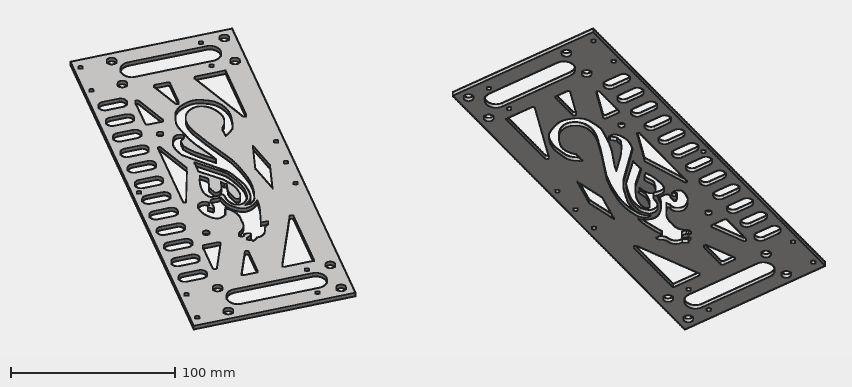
import cadquery as cq
import math

LENGTH = 254.0
WIDTH = 103.0
THICKNESS = 3.0

BOLT_DIAMETER = 6.0
SCREW_DIAMETER = 2.8
CENTER_HOLE_DIAMETER = 4.0
OUTER_COLUMN_X = 120.1
INNER_COLUMN_X = 98.0
UPPER_BOLT_Y = 44.5
LOWER_BOLT_Y = -27.5
SIDE_SCREW_Y = 29.5
TOP_SCREW_Y = 46.5
BOTTOM_SCREW_Y = -47.2
TOP_SCREW_PITCH = 20.0
CENTER_HOLE_X = 47.5
CENTER_HOLE_Y = -19.0

HANDLE_X = (OUTER_COLUMN_X + INNER_COLUMN_X) / 2
HANDLE_Y = 6.9
HANDLE_LENGTH = 63.8
HANDLE_WIDTH = 14.0

VENT_COUNT = 12
VENT_PITCH = 15.0
VENT_LENGTH = 18.0
VENT_WIDTH = 8.0
VENT_ROW_X = 0.5
VENT_ROW_Y = -38.5

WINDOW_ANGLE = 23.0
WINDOW_RADIUS = 1.3
WINDOW_OUTER_X = 91.5
UPPER_WINDOW_Y = 36.3
UPPER_WINDOW_HEIGHT = 20.8
MIDDLE_WINDOW_Y = 0.5
MIDDLE_WINDOW_HEIGHT = 11.0
LOWER_WINDOW_X = 58.0
LOWER_WINDOW_Y = -25.0
LOWER_WINDOW_HEIGHT = 12.0

BASE_TRIANGLE_APEX = (-12.7, -12.7)
BASE_TRIANGLE_HEIGHT = 11.5
BASE_TRIANGLE_RIGHT_RUN = 34.5
BASE_TRIANGLE_RADIUS = 0.9

DIAMOND_Y = 31.8
DIAMOND_LENGTH = 40.6
DIAMOND_HEIGHT = 9.5

PANTHER_ORIGIN = (0.3, -0.3)

BODY_START = (-34.3, 18.8)
BODY_RUNS = [
    [(-41.5, 18.8)],
    [(-44.7, 21.0), (-50.3, 22.5), (-56.5, 21.0), (-62.0, 17.3), (-65.0, 10.7), (-63.5, 5.0), (-59.5, 1.3),
     (-52.8, -0.3), (-44.5, 1.3), (-36.8, 4.3), (-25.5, 9.7), (-12.7, 15.7), (0.0, 19.3), (14.0, 20.8),
     (21.5, 19.8), (26.7, 18.0), (29.7, 14.7), (29.7, 11.7)],
    [(27.7, 14.2), (24.6, 16.5), (21.5, 17.3), (16.5, 17.3), (11.5, 16.5), (6.4, 14.5), (0.0, 12.0), (-4.8, 8.5)],
    [(-25.5, -12.0)],
    [(-28.7, -13.2), (-34.3, -14.2), (-39.4, -13.2), (-43.0, -11.0), (-43.7, -8.1), (-42.7, -5.8),
     (-40.6, -5.5)],
    [(-37.5, -8.6)],
    [(-33.0, -8.6)],
    [(-29.2, -6.4), (-25.5, -3.3), (-19.0, 3.0), (-15.2, 6.9)],
    [(-21.5, 4.3), (-30.5, -0.3), (-40.6, -4.0), (-47.0, -5.5), (-52.0, -6.5), (-58.5, -5.5),
     (-63.5, -4.0), (-67.5, -0.5), (-70.0, 4.5), (-71.0, 10.2), (-69.5, 15.7), (-66.0, 21.8),
     (-58.5, 26.5), (-52.0, 27.5), (-45.7, 26.7), (-40.6, 25.5), (-37.0, 22.5), BODY_START],
]

FLANK_START = (-16.8, -6.5)
FLANK_RUNS = [
    [(-8.0, -6.5)],
    [(3.8, 5.8)],
    [(7.5, 8.1), (11.5, 10.2), (15.2, 11.2), (21.0, 11.2), (23.0, 10.0), (23.0, 8.1), (21.0, 6.9), (17.8, 5.8),
     (14.7, 5.3), (11.5, 5.8), (8.1, 6.4)],
    [(7.5, 5.0)],
    [(5.3, 3.5)],
    [(10.2, 2.5), (13.2, 0.5), (14.0, -1.0), (13.7, -2.5), (11.5, -3.8), (8.1, -4.8), (5.0, -4.0),
     (0.0, -3.3), (-1.8, -4.8), (-3.8, -7.0)],
    [(-1.5, -8.0), (2.5, -9.0), (6.4, -9.5), (11.5, -9.5), (14.7, -8.1), (16.5, -6.5), (17.0, -3.8),
     (16.8, -1.3), (16.0, 0.5)],
    [(17.8, 1.8), (20.8, 2.0), (23.5, 2.8), (25.5, 3.5), (28.0, 6.4), (28.5, 9.0), (28.2, 10.7),
     (26.2, 13.0), (23.4, 14.7), (20.3, 15.2), (15.2, 15.2), (11.5, 14.5), (7.5, 13.2), (3.8, 11.7), (0.0, 10.0),
     (-3.5, 7.0)],
    [FLANK_START],
]

HEAD_START = (28.0, 19.8)
HEAD_RUNS = [
    [(32.5, 19.5), (36.8, 18.8), (42.0, 17.5), (48.0, 15.7)],
    [(48.3, 20.3)],
    [(50.8, 19.3), (51.8, 18.0), (53.8, 16.5), (57.2, 15.5), (60.0, 12.7), (60.5, 9.5)],
    [(62.0, 8.0), (63.0, 6.4)],
    [(61.5, 4.8), (61.0, 3.5), (59.0, 3.5)],
    [(58.2, 5.5), (57.0, 6.9), (55.4, 6.0), (55.0, 4.5), (55.4, 2.8)],
    [(57.0, 2.3)],
    [(57.0, 1.0), (56.5, 0.0), (54.5, -0.3), (53.0, 0.5)],
    [(50.3, 3.5), (47.0, 5.0), (43.2, 5.0), (39.4, 5.0), (35.5, 4.0), (32.8, 2.5), (30.0, -0.3)],
    [(28.2, -0.5)],
    [(30.7, -1.8)],
    [(33.0, -1.8), (35.0, -3.0), (36.3, -5.0), (36.8, -6.9), (35.5, -10.7), (33.3, -13.0), (29.2, -15.5),
     (25.0, -16.5), (21.8, -16.3), (20.0, -14.2), (19.8, -11.0), (20.8, -9.7), (22.9, -9.5), (24.0, -10.7)],
    [(25.1, -11.0)],
    [(27.7, -8.1)],
    [(26.7, -7.4)],
    [(22.4, -7.4)],
    [(20.8, -8.0), (19.3, -6.9), (19.0, -3.8), (18.5, -1.0)],
    [(20.8, -0.3), (22.9, 0.3), (25.5, 1.3), (29.2, 4.0), (31.5, 6.9), (32.8, 9.7), (32.8, 12.2),
     (32.0, 14.7), (30.5, 17.3), HEAD_START],
]


def through(sketch):
    """Cutter that spans the plate thickness."""
    return sketch.extrude(THICKNESS)


def holes(points, diameter):
    return through(cq.Workplane("XY").pushPoints(points).circle(diameter / 2))


def slots(points, length, width):
    return through(cq.Workplane("XY").pushPoints(points).slot2D(length, width, 90))


def both_sides(cutter):
    """The cutter together with its mirror image across the middle of the plate."""
    return cutter.union(cutter.mirror("YZ"))


def right_triangle(corner_x, corner_y, rise, direction):
    """Window with a signed vertical leg and a horizontal leg running toward +X (1) or -X (-1)."""
    run = direction * abs(rise) / math.tan(math.radians(WINDOW_ANGLE))
    outline = cq.Workplane("XY").moveTo(corner_x, corner_y).lineTo(corner_x + run, corner_y)
    outline = outline.lineTo(corner_x, corner_y + rise).close()
    return through(outline)


def upper_window():
    window = right_triangle(-WINDOW_OUTER_X, UPPER_WINDOW_Y, -UPPER_WINDOW_HEIGHT, 1)
    return window.edges("|Z").edges("<Y or >X").fillet(WINDOW_RADIUS)


def middle_window():
    window = right_triangle(-WINDOW_OUTER_X, MIDDLE_WINDOW_Y, -MIDDLE_WINDOW_HEIGHT, 1)
    return window.edges("|Z").fillet(WINDOW_RADIUS)


def lower_window():
    window = right_triangle(-LOWER_WINDOW_X, LOWER_WINDOW_Y, LOWER_WINDOW_HEIGHT, -1)
    return window.edges("|Z").fillet(WINDOW_RADIUS)


def base_triangle():
    apex_x, apex_y = BASE_TRIANGLE_APEX
    base_y = apex_y - BASE_TRIANGLE_HEIGHT
    left_x = apex_x - BASE_TRIANGLE_HEIGHT / math.tan(math.radians(WINDOW_ANGLE))
    right_x = apex_x + BASE_TRIANGLE_RIGHT_RUN
    outline = cq.Workplane("XY").polyline([(left_x, base_y), (right_x, base_y), BASE_TRIANGLE_APEX]).close()
    return through(outline).edges("|Z").edges("<X or >X").fillet(BASE_TRIANGLE_RADIUS)


def diamond():
    half_length = DIAMOND_LENGTH / 2
    half_height = DIAMOND_HEIGHT / 2
    corners = [(-half_length, 0), (0, half_height), (half_length, 0), (0, -half_height)]
    return through(cq.Workplane("XY").center(0, DIAMOND_Y).polyline(corners).close())


def panther_window(start, runs):
    outline = cq.Workplane("XY").center(*PANTHER_ORIGIN).moveTo(*start)
    for run in runs:
        if len(run) == 1:
            outline = outline.lineTo(*run[0])
        else:
            outline = outline.spline(run, includeCurrent=True)
    return through(outline.wire())


column_xs = [-OUTER_COLUMN_X, -INNER_COLUMN_X, INNER_COLUMN_X, OUTER_COLUMN_X]
bolt_points = [(x, y) for x in column_xs for y in (UPPER_BOLT_Y, LOWER_BOLT_Y)]
screw_points = [(x, y) for x in column_xs for y in (SIDE_SCREW_Y, BOTTOM_SCREW_Y)]
screw_points += [(i * TOP_SCREW_PITCH, TOP_SCREW_Y) for i in (-1, 0, 1)]
screw_points.append((0, BOTTOM_SCREW_Y))
center_hole_points = [(-CENTER_HOLE_X, CENTER_HOLE_Y), (CENTER_HOLE_X, CENTER_HOLE_Y)]
handle_points = [(-HANDLE_X, HANDLE_Y), (HANDLE_X, HANDLE_Y)]
first_vent_x = VENT_ROW_X - VENT_PITCH * (VENT_COUNT - 1) / 2
vent_points = [(first_vent_x + i * VENT_PITCH, VENT_ROW_Y) for i in range(VENT_COUNT)]

cutters = [
    holes(bolt_points, BOLT_DIAMETER),
    holes(screw_points, SCREW_DIAMETER),
    holes(center_hole_points, CENTER_HOLE_DIAMETER),
    slots(handle_points, HANDLE_LENGTH, HANDLE_WIDTH),
    slots(vent_points, VENT_LENGTH, VENT_WIDTH),
    both_sides(upper_window()),
    both_sides(middle_window()),
    both_sides(lower_window()),
    base_triangle(),
    diamond(),
    panther_window(BODY_START, BODY_RUNS),
    panther_window(FLANK_START, FLANK_RUNS),
    panther_window(HEAD_START, HEAD_RUNS),
]

result = cq.Workplane("XY").box(LENGTH, WIDTH, THICKNESS, centered=(True, True, False))
for cutter in cutters:
    result = result.cut(cutter)